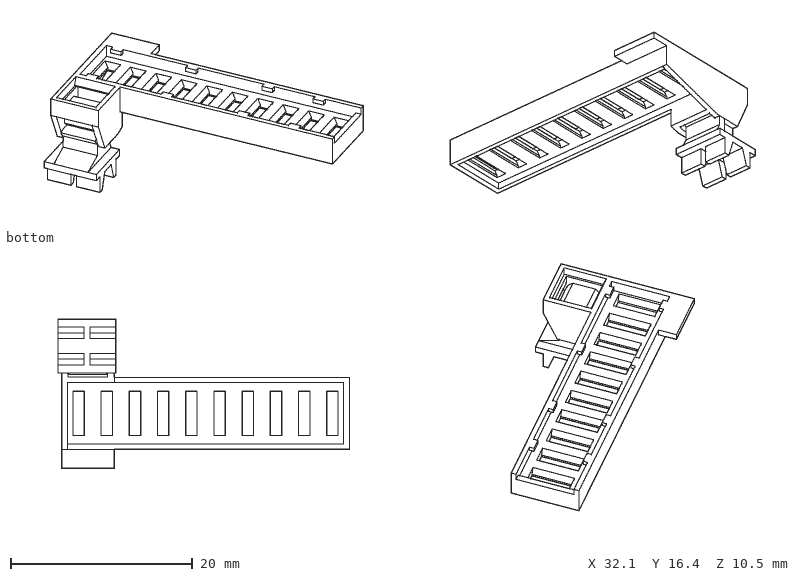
import cadquery as cq


arm_end_x = 31.68
arm_front_y = 5.6
arm_width = 7.93
arm_back_y = arm_front_y + arm_width
arm_center_y = arm_front_y + arm_width / 2
arm_height = 3.2

block_width = 5.8
block_length = 15.6
block_height = 5.7
tab_thickness = 0.77
front_wall_height = 2.12
block_bottom_front_y = 1.67
block_bottom_back_y = 5.0

rail_thickness = 0.58
channel_width = arm_width - 2 * rail_thickness
channel_front_y = arm_front_y + rail_thickness
channel_back_y = arm_back_y - rail_thickness
channel_start_x = 0.65
floor_top_z = -1.38
floor_bottom_z = -2.4
end_bar_length = 0.67
end_bar_drop = 0.8

catch_centers_x = [2.02, 11.17, 20.45, 26.68]
catch_length = 1.3
catch_reach = 0.5
catch_thickness = 0.48

slot_count = 10
first_slot_x = 1.85
last_slot_x = 29.8
slot_pitch = (last_slot_x - first_slot_x) / (slot_count - 1)
slot_length = 4.85
slot_top_width = 1.9
slot_bottom_width = 1.22
slot_taper_depth = 0.77

socket_center_x = 2.85
seat_width = 4.78
seat_front_y = 0.55
seat_back_y = 5.5
seat_depth = 1.03
seat_lip_y = 5.15
seat_lip_edge = 0.13
socket_width = 4.33
socket_front_y = 0.87
socket_back_y = 5.55

hinge_y = 3.0
hinge_z = -3.63
bar_size = 1.73
bar_chamfer = 0.42

knuckle_radius = 2.28
knuckle_top_z = -1.75
mouth_start_y = 1.7
mouth_flare = 0.22
neck_width = 4.17
neck_left_x = socket_center_x - neck_width / 2
neck_right_x = socket_center_x + neck_width / 2
neck_front_y = 1.57
neck_back_y = 4.65
flare_top_z = -6.85
stop_front_y = 3.85

plate_left_x = -0.42
plate_width = 6.4
plate_front_y = -0.85
plate_depth = 5.95
plate_back_y = plate_front_y + plate_depth
plate_top_z = -7.7
plate_thickness = 0.8
plate_bottom_z = plate_top_z - plate_thickness
plate_center_y = plate_front_y + plate_depth / 2

foot_height = 2.0
foot_width = 2.85
foot_outer_reach = 2.1
foot_inner_top_reach = 0.8
foot_inner_bottom_reach = 1.45


def box(x_range, y_range, z_range):
    """Box between the given pairs of coordinates."""
    (x0, x1), (y0, y1), (z0, z1) = x_range, y_range, z_range
    return cq.Workplane("XY").box(x1 - x0, y1 - y0, z1 - z0, centered=False).translate((x0, y0, z0))


def side_profile(points, x_start, x_end):
    """Closed outline of (y, z) points, extruded along X."""
    return cq.Workplane("YZ").polyline(points).close().extrude(x_end - x_start).translate((x_start, 0, 0))


def end_block():
    """Block around the socket, with a back tab; under the arm only its left wall remains, as a gusset."""
    outline = [
        (0, 0),
        (block_length, 0),
        (block_length, -tab_thickness),
        (arm_back_y, -tab_thickness),
        (arm_back_y, -arm_height),
        (block_bottom_back_y, -block_height),
        (block_bottom_front_y, -block_height),
        (0, -front_wall_height),
    ]
    under_arm = box(
        (channel_start_x, block_width), (channel_front_y, arm_back_y), (-block_height, -arm_height)
    )
    return side_profile(outline, 0, block_width).cut(under_arm)


def channels():
    """Channels above and below the arm's floor; the bar at the free end closes all but the top step."""
    y_range = (channel_front_y, channel_back_y)
    bar_start_x = arm_end_x - end_bar_length
    upper = box((channel_start_x, bar_start_x), y_range, (floor_top_z, 0))
    lower = box((channel_start_x, bar_start_x), y_range, (-arm_height, floor_bottom_z))
    step = box((bar_start_x, arm_end_x), y_range, (-end_bar_drop, 0))
    return upper.union(step).union(lower)


def catch(center_x, side):
    """Small catch on a rail's inner face; side is +1 for the back rail and -1 for the front rail."""
    reach = catch_reach + rail_thickness / 2
    center_y = arm_center_y + side * (channel_width / 2 - catch_reach + reach / 2)
    return (
        cq.Workplane("XY", origin=(center_x, center_y, -catch_thickness))
        .rect(catch_length, reach)
        .extrude(catch_thickness)
    )


def slot(center_x):
    """Slot through the arm's floor: its long sides taper inwards, then run straight down."""
    top = slot_top_width / 2
    bottom = slot_bottom_width / 2
    taper_end_z = floor_top_z - slot_taper_depth
    outline = [
        (center_x - top, floor_top_z),
        (center_x + top, floor_top_z),
        (center_x + bottom, taper_end_z),
        (center_x + bottom, floor_bottom_z),
        (center_x - bottom, floor_bottom_z),
        (center_x - bottom, taper_end_z),
    ]
    cutter = cq.Workplane("XZ").polyline(outline).close().extrude(slot_length / 2, both=True)
    return cutter.translate((0, arm_center_y, 0))


def socket():
    """Recessed seat with an undercut sloping back edge, above a pocket open at the bottom and front."""
    seat_outline = [
        (seat_front_y, 0),
        (seat_back_y, 0),
        (seat_lip_y, seat_lip_edge - seat_depth),
        (seat_lip_y, -seat_depth),
        (seat_front_y, -seat_depth),
    ]
    seat = side_profile(
        seat_outline, socket_center_x - seat_width / 2, socket_center_x + seat_width / 2
    )
    x_range = (socket_center_x - socket_width / 2, socket_center_x + socket_width / 2)
    pocket = box(x_range, (socket_front_y, socket_back_y), (-block_height, -seat_depth))
    window = box(x_range, (0, socket_back_y), (-block_height, -front_wall_height))
    return seat.union(pocket).union(window)


def hinge_bar():
    """Chamfered square bar across the socket, ending in its side walls."""
    return (
        cq.Workplane("YZ", origin=(socket_center_x, hinge_y, hinge_z))
        .rect(bar_size, bar_size)
        .extrude(socket_width / 2, both=True)
        .edges("|X")
        .chamfer(bar_chamfer)
    )


def make_tray():
    tray = end_block().union(box((0, arm_end_x), (arm_front_y, arm_back_y), (-arm_height, 0)))
    tray = tray.cut(channels())
    for center_x in catch_centers_x:
        for side in (-1, 1):
            tray = tray.union(catch(center_x, side))
    for i in range(slot_count):
        tray = tray.cut(slot(first_slot_x + i * slot_pitch))
    return tray.cut(socket()).union(hinge_bar())


def knuckle():
    """Round head with a flat top and a flared jaw that opens to the front and grips the hinge bar."""
    head = (
        cq.Workplane("YZ", origin=(neck_left_x, hinge_y, hinge_z))
        .circle(knuckle_radius)
        .extrude(neck_width)
    )
    above = box(
        (neck_left_x, neck_right_x),
        (hinge_y - knuckle_radius, hinge_y + knuckle_radius),
        (knuckle_top_z, 0),
    )
    return head.cut(above)


def jaw():
    half = bar_size / 2
    jaw_back_y = hinge_y + half
    mouth_y = hinge_y - knuckle_radius
    outline = [
        (jaw_back_y, hinge_z + half),
        (mouth_start_y, hinge_z + half),
        (mouth_y, hinge_z + half + mouth_flare),
        (mouth_y, hinge_z - half - mouth_flare),
        (mouth_start_y, hinge_z - half),
        (jaw_back_y, hinge_z - half),
    ]
    return side_profile(outline, neck_left_x, neck_right_x)


def neck():
    """Neck from the knuckle to the plate, flared at its foot."""
    outline = [
        (neck_front_y, hinge_z),
        (neck_back_y, hinge_z),
        (neck_back_y, flare_top_z),
        (plate_back_y, plate_top_z),
        (plate_front_y, plate_top_z),
        (neck_front_y, flare_top_z),
    ]
    return side_profile(outline, neck_left_x, neck_right_x)


def stop():
    """Rear part of the neck, widened to the block's left face and bearing on the block's underside."""
    outline = [
        (stop_front_y, -block_height),
        (neck_back_y, -block_height),
        (neck_back_y, flare_top_z),
        (plate_back_y, plate_top_z),
        (stop_front_y, plate_top_z),
    ]
    return side_profile(outline, 0, neck_left_x)


def foot(left_x, side):
    """Foot tapered on its inner face; side is +1 for the back row and -1 for the front row."""
    foot_bottom_z = plate_bottom_z - foot_height
    outline = [
        (plate_center_y + side * foot_outer_reach, plate_bottom_z),
        (plate_center_y + side * foot_outer_reach, foot_bottom_z),
        (plate_center_y + side * foot_inner_bottom_reach, foot_bottom_z),
        (plate_center_y + side * foot_inner_top_reach, plate_bottom_z),
    ]
    return side_profile(outline, left_x, left_x + foot_width)


def make_clip():
    plate_right_x = plate_left_x + plate_width
    plate = box(
        (plate_left_x, plate_right_x), (plate_front_y, plate_back_y), (plate_bottom_z, plate_top_z)
    )
    clip = knuckle().union(neck()).cut(jaw()).union(stop()).union(plate)
    for left_x in (plate_left_x, plate_right_x - foot_width):
        for side in (-1, 1):
            clip = clip.union(foot(left_x, side))
    return clip


tray = make_tray()
clip = make_clip()

result = cq.Compound.makeCompound([tray.solids().val(), clip.solids().val()])